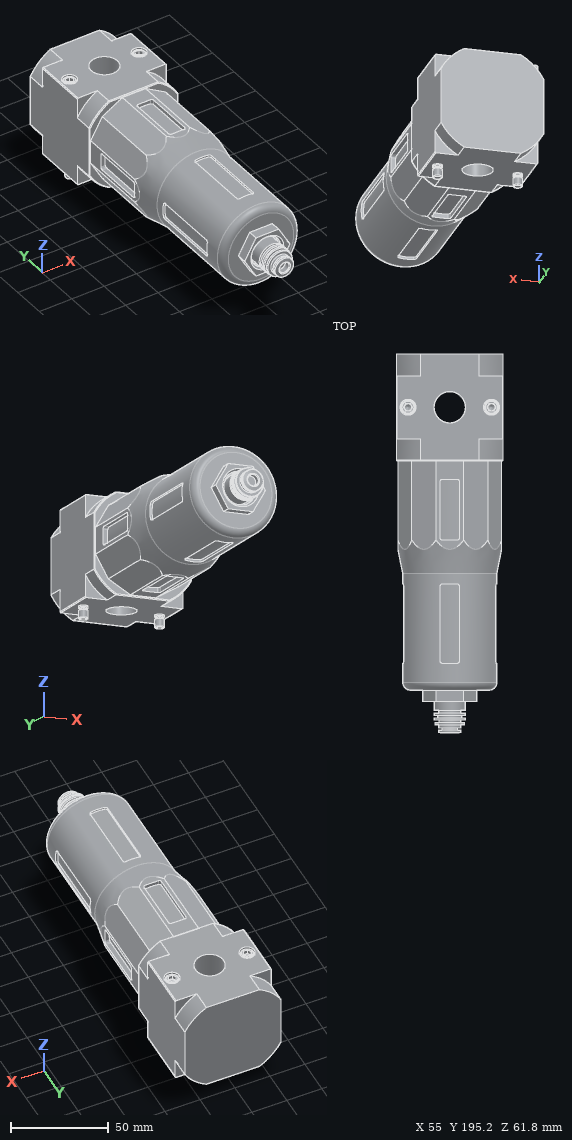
import cadquery as cq
import math


HEX_SIDES = 6

HEAD_SIDE = 55.0
HEAD_HALF = HEAD_SIDE / 2
HEAD_CENTRE_Y = HEAD_HALF
END_ROUND_RADIUS = 31.5
END_ROUND_LENGTH = 11.3
HEAD_CHAMFER = 0.49
PORT_DIAMETER = 16.0

SCREW_OFFSET_X = 21.5
SCREW_DIAMETER = 5.0
SCREW_NECK_DIAMETER = 4.1
SCREW_RECESS_DIAMETER = 8.2
SCREW_RECESS_DEPTH = 5.5
SCREW_HEAD_DIAMETER = 7.0
SCREW_HEAD_TOP_DIAMETER = 6.0
SCREW_HEAD_HEIGHT = 5.0
SCREW_SEAT_Z = HEAD_HALF - SCREW_RECESS_DEPTH
SCREW_TOP_Z = SCREW_SEAT_Z + SCREW_HEAD_HEIGHT
SCREW_PROTRUSION = 6.8
SCREW_TIP_CHAMFER = (SCREW_DIAMETER - SCREW_NECK_DIAMETER) / 2
SCREW_NECK_TOP = 0.8
SCREW_NECK_BOTTOM = 2.3
SOCKET_ACROSS_CORNERS = 4.7
SOCKET_DEPTH = 2.5
SOCKET_CONE_DIAMETER = 3.7
SOCKET_CONE_DEPTH = 1.2

GRIP_SIDES = 12
GRIP_APOTHEM = 26.7
GRIP_CORNER_RADIUS = GRIP_APOTHEM / math.cos(math.pi / GRIP_SIDES)
BOWL_DIAMETER = 48.6
BOWL_RADIUS = BOWL_DIAMETER / 2
GRIP_FLANK_LENGTH = 40.8
TAPER_END = 58.0
BOWL_LENGTH = 118.1
BOWL_END_FILLET = 4.1

WINDOW_COUNT = 4
WINDOW_WIDTH = 10.0
WINDOW_CORNER_RADIUS = 1.2
UPPER_WINDOW_START = 9.5
UPPER_WINDOW_END = 40.8
LOWER_WINDOW_START = 63.5
LOWER_WINDOW_END = 104.2
UPPER_WINDOW_FLOOR_RADIUS = 24.5
LOWER_WINDOW_FLOOR_RADIUS = 23.0

NUT_ACROSS_FLATS = 24.2
NUT_LENGTH = 5.9
NUT_BORE_DIAMETER = 18.0
NUT_BORE_DEPTH = 4.0
NUT_BORE_CHAMFER = 1.2
NUT_END = BOWL_LENGTH + NUT_LENGTH
OUTLET_END = 140.2
OUTLET_MOUTH_DIAMETER = 7.0
OUTLET_BORE_DIAMETER = 6.0
OUTLET_BORE_DEPTH = 4.0
OUTLET_TIP_CONE = 0.4
OUTLET_STEPS = [
    (16.0, 11.7),
    (11.5, 10.3),
    (16.0, 9.0),
    (12.5, 7.8),
    (16.0, 6.6),
    (11.3, 5.5),
    (15.2, 4.3),
    (11.5, 2.5),
    (8.2, 1.5),
    (11.5, OUTLET_TIP_CONE),
]


def y_cylinder(radius, start, end):
    """Cylinder on the Y axis between two distances below the head face."""
    return cq.Workplane("XZ", origin=(0, -start, 0)).circle(radius).extrude(end - start)


def screw_points(plane):
    return plane.pushPoints([(-SCREW_OFFSET_X, HEAD_CENTRE_Y), (SCREW_OFFSET_X, HEAD_CENTRE_Y)])


def make_head():
    """Square block whose corners are rounded at both ends, with the port and screw holes."""
    middle_length = HEAD_SIDE - 2 * END_ROUND_LENGTH
    block = cq.Workplane("XY").box(HEAD_SIDE, HEAD_SIDE, HEAD_SIDE)
    block = block.translate((0, HEAD_CENTRE_Y, 0))
    middle = cq.Workplane("XY").box(HEAD_SIDE, middle_length, HEAD_SIDE)
    middle = middle.translate((0, HEAD_CENTRE_Y, 0)).edges("|Y").chamfer(HEAD_CHAMFER)
    rounded = block.intersect(y_cylinder(END_ROUND_RADIUS, -HEAD_SIDE, 0))
    rounded = rounded.faces("<Y").chamfer(HEAD_CHAMFER)
    head = rounded.union(middle)

    top = cq.Workplane("XY", origin=(0, 0, HEAD_HALF))
    head = head.cut(top.center(0, HEAD_CENTRE_Y).circle(PORT_DIAMETER / 2).extrude(-HEAD_SIDE))
    head = head.cut(screw_points(top).circle(SCREW_DIAMETER / 2).extrude(-HEAD_SIDE))
    return head.cut(screw_points(top).circle(SCREW_RECESS_DIAMETER / 2).extrude(-SCREW_RECESS_DEPTH))


def make_screw(x):
    head_radius = SCREW_HEAD_DIAMETER / 2
    head_top_radius = SCREW_HEAD_TOP_DIAMETER / 2
    shank_radius = SCREW_DIAMETER / 2
    neck_radius = SCREW_NECK_DIAMETER / 2
    flare = shank_radius - neck_radius
    neck_top = -HEAD_HALF - SCREW_NECK_TOP
    neck_bottom = -HEAD_HALF - SCREW_NECK_BOTTOM
    tip = -HEAD_HALF - SCREW_PROTRUSION
    outline = [
        (0, tip),
        (shank_radius - SCREW_TIP_CHAMFER, tip),
        (shank_radius, tip + SCREW_TIP_CHAMFER),
        (shank_radius, neck_bottom),
        (neck_radius, neck_bottom + flare),
        (neck_radius, neck_top - flare),
        (shank_radius, neck_top),
        (shank_radius, SCREW_SEAT_Z),
        (head_radius, SCREW_SEAT_Z),
        (head_radius, SCREW_TOP_Z - (head_radius - head_top_radius)),
        (head_top_radius, SCREW_TOP_Z),
        (0, SCREW_TOP_Z),
    ]
    screw = cq.Workplane("XZ").polyline(outline).close().revolve(360, (0, 0), (0, 1))

    socket = cq.Workplane("XY", origin=(0, 0, SCREW_TOP_Z))
    socket = socket.polygon(HEX_SIDES, SOCKET_ACROSS_CORNERS).extrude(-SOCKET_DEPTH)
    socket_cone = cq.Solid.makeCone(
        SOCKET_CONE_DIAMETER / 2,
        0,
        SOCKET_CONE_DEPTH,
        cq.Vector(0, 0, SCREW_TOP_Z - SOCKET_DEPTH),
        cq.Vector(0, 0, -1),
    )
    return screw.cut(socket).cut(cq.Workplane(socket_cone)).translate((x, HEAD_CENTRE_Y, 0))


def make_bowl_shell():
    """Twelve-sided grip that tapers into a round bowl with a filleted end."""
    grip = cq.Workplane("XZ").polygon(GRIP_SIDES, 2 * GRIP_CORNER_RADIUS).extrude(BOWL_LENGTH)
    grip = grip.rotate((0, 0, 0), (0, 1, 0), 180 / GRIP_SIDES)
    outline = [
        (0, 0),
        (GRIP_CORNER_RADIUS, 0),
        (GRIP_CORNER_RADIUS, -GRIP_FLANK_LENGTH),
        (BOWL_RADIUS, -TAPER_END),
        (BOWL_RADIUS, -BOWL_LENGTH),
        (0, -BOWL_LENGTH),
    ]
    turned = cq.Workplane("XY").polyline(outline).close().revolve(360, (0, 0), (0, 1))
    turned = turned.faces("<Y").edges().fillet(BOWL_END_FILLET)
    return grip.intersect(turned)


def make_windows(start, end, floor_radius):
    """Window cutters around the bowl that stop on a round floor."""
    slot = cq.Workplane("XY").box(WINDOW_WIDTH, end - start, HEAD_HALF, centered=(True, True, False))
    slot = slot.edges("|Z").fillet(WINDOW_CORNER_RADIUS).translate((0, -(start + end) / 2, 0))
    slot = slot.cut(y_cylinder(floor_radius, start, end))
    return [slot.rotate((0, 0, 0), (0, 1, 0), 360 / WINDOW_COUNT * i) for i in range(WINDOW_COUNT)]


def make_nut():
    """Hexagonal nut with a countersunk bore around the outlet."""
    across_corners = NUT_ACROSS_FLATS / math.cos(math.pi / HEX_SIDES)
    nut = cq.Workplane("XZ", origin=(0, -BOWL_LENGTH, 0))
    nut = nut.polygon(HEX_SIDES, across_corners).extrude(NUT_LENGTH)
    nut = nut.cut(y_cylinder(NUT_BORE_DIAMETER / 2, NUT_END - NUT_BORE_DEPTH, NUT_END))
    bore_rim = cq.selectors.RadiusNthSelector(0)
    return nut.faces("<Y").edges("%CIRCLE").edges(bore_rim).chamfer(NUT_BORE_CHAMFER)


def make_outlet():
    """Stepped, barbed spout with a slightly conical tip and a blind bore."""
    outline = [(0, -BOWL_LENGTH)]
    start = -BOWL_LENGTH
    for diameter, distance_from_tip in OUTLET_STEPS:
        end = distance_from_tip - OUTLET_END
        outline.append((diameter / 2, start))
        outline.append((diameter / 2, end))
        start = end
    mouth_chamfer = (OUTLET_MOUTH_DIAMETER - OUTLET_BORE_DIAMETER) / 2
    outline.append((OUTLET_MOUTH_DIAMETER / 2, -OUTLET_END))
    outline.append((OUTLET_BORE_DIAMETER / 2, mouth_chamfer - OUTLET_END))
    outline.append((OUTLET_BORE_DIAMETER / 2, OUTLET_BORE_DEPTH - OUTLET_END))
    outline.append((0, OUTLET_BORE_DEPTH - OUTLET_END))
    return cq.Workplane("XY").polyline(outline).close().revolve(360, (0, 0), (0, 1))


def make_bowl():
    bowl = make_bowl_shell()
    windows = make_windows(UPPER_WINDOW_START, UPPER_WINDOW_END, UPPER_WINDOW_FLOOR_RADIUS)
    windows += make_windows(LOWER_WINDOW_START, LOWER_WINDOW_END, LOWER_WINDOW_FLOOR_RADIUS)
    for window in windows:
        bowl = bowl.cut(window)
    return bowl.union(make_nut()).union(make_outlet())


head = make_head()
bowl = make_bowl()
screws = [make_screw(x) for x in (-SCREW_OFFSET_X, SCREW_OFFSET_X)]

result = cq.Compound.makeCompound([head.val(), bowl.val(), *[screw.val() for screw in screws]])